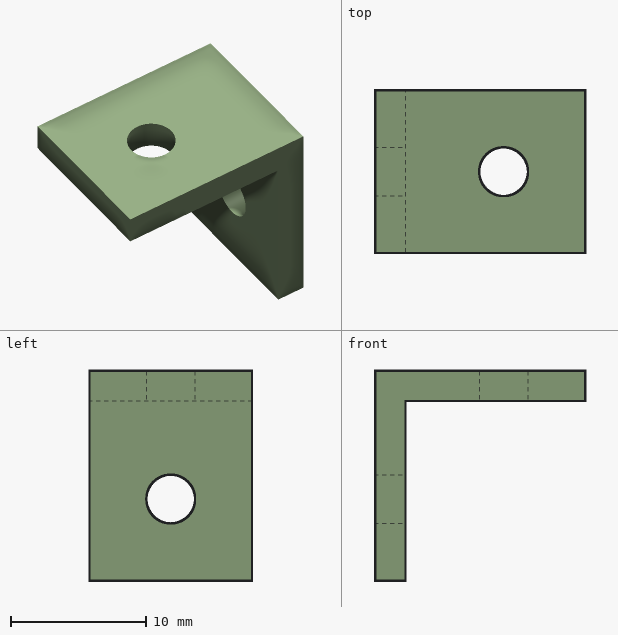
import cadquery as cq

leg_length = 15.56
width = 12.06
thickness = 2.25
hole_diameter = 3.6
hole_from_corner = 9.5


def make_leg(size_x, size_z):
    """Plate with its outer corner edge on the Y axis, reaching +X and -Z."""
    plate = cq.Workplane("XY").box(size_x, width, size_z, centered=(False, True, False))
    return plate.translate((0, 0, -size_z))


def make_hole(plane):
    """Cylinder through one leg, centred across the width."""
    return cq.Workplane(plane).circle(hole_diameter / 2).extrude(thickness)


horizontal_leg = make_leg(leg_length, thickness)
vertical_leg = make_leg(thickness, leg_length)

horizontal_leg_hole = make_hole("XY").translate((hole_from_corner, 0, -thickness))
vertical_leg_hole = make_hole("YZ").translate((0, 0, -hole_from_corner))

bracket = horizontal_leg.union(vertical_leg)
result = bracket.cut(horizontal_leg_hole).cut(vertical_leg_hole)